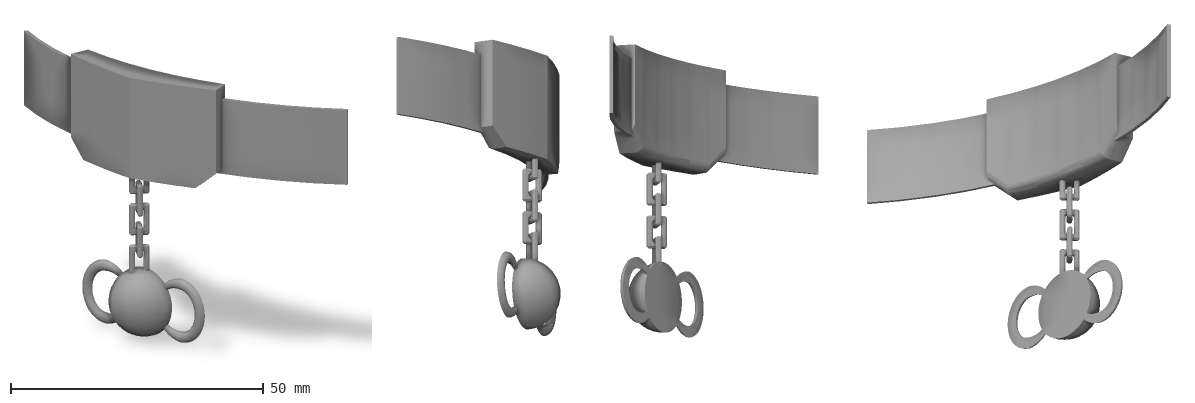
import cadquery as cq
import math

BEND_AXIS_Y = 81.6
PLATE_BACK_RADIUS = 74.9
PLATE_HEIGHT = 21.0
PLATE_HALF_ANGLE = 13.42
PLATE_CORNER_RADIUS = 79.25
PLATE_FACE_BULGE = 0.4
CORNER_CUT_WIDTH = 4.4
CORNER_CUT_HEIGHT = 3.6
REAR_FILLET_RADIUS = 1.5

STRAP_OUTER_RADIUS = 76.4
STRAP_THICKNESS = 0.75
STRAP_HEIGHT = 15.63
STRAP_LEFT_ANGLE = 31.25
STRAP_RIGHT_ANGLE = 32.88

LINK_COUNT = 5
LINK_WIDTH = 4.0
LINK_BAR = 1.13
LINK_CHAMFER = 0.33
LINK_PITCH = 4.316
LINK_LENGTH = LINK_PITCH + 2 * LINK_BAR
LINK_FIRST_BOTTOM_Z = -25.04
LINK_FIRST_TURN = 45
LINK_TURN_STEP = 90
CHAIN_Y = 3.22

PENDANT_BACK_Y = 4.75
BALL_RADIUS = 7.08
BALL_Z = -47.93
EAR_TUBE_RADIUS = 1.13
EAR_TIP_RADIUS = 0.6
EAR_CROWN_X = 9.45
EAR_REACH = 4.8
EAR_HALF_HEIGHT = 5.5
EAR_ARM_RADIUS = 6.2
EAR_ARM_ANGLE = 45


def bend_point(radius, angle):
    """Point at a radius from the bend axis; the angle is 0 at the ridge and grows towards +X."""
    turn = math.radians(angle)
    return radius * math.sin(turn), BEND_AXIS_Y - radius * math.cos(turn)


def make_corner_cut(side):
    """Wedge for the chamfer between the plate's bottom and its radial end face."""
    return (
        cq.Workplane("XZ")
        .moveTo(0, -PLATE_HEIGHT)
        .lineTo(-side * CORNER_CUT_WIDTH, -PLATE_HEIGHT)
        .lineTo(0, -PLATE_HEIGHT + CORNER_CUT_HEIGHT)
        .close()
        .extrude(BEND_AXIS_Y / 2, both=True)
        .rotate((0, BEND_AXIS_Y, 0), (0, BEND_AXIS_Y, 1), side * PLATE_HALF_ANGLE)
    )


def make_plate():
    back_right = bend_point(PLATE_BACK_RADIUS, PLATE_HALF_ANGLE)
    back_left = bend_point(PLATE_BACK_RADIUS, -PLATE_HALF_ANGLE)
    front_right = bend_point(PLATE_CORNER_RADIUS, PLATE_HALF_ANGLE)
    front_left = bend_point(PLATE_CORNER_RADIUS, -PLATE_HALF_ANGLE)
    corner_x, corner_y = front_right
    back_middle = (0, BEND_AXIS_Y - PLATE_BACK_RADIUS, -PLATE_HEIGHT / 2)
    bulge_y = corner_y / 2 - PLATE_FACE_BULGE
    plate = (
        cq.Workplane("XY")
        .moveTo(*back_left)
        .threePointArc(bend_point(PLATE_BACK_RADIUS, 0), back_right)
        .lineTo(*front_right)
        .threePointArc((corner_x / 2, bulge_y), (0, 0))
        .threePointArc((-corner_x / 2, bulge_y), front_left)
        .close()
        .extrude(-PLATE_HEIGHT)
    )
    for side in (-1, 1):
        plate = plate.cut(make_corner_cut(side))
    back_face = plate.faces(cq.NearestToPointSelector(back_middle))
    return back_face.edges("not(|Z or >Z)").fillet(REAR_FILLET_RADIUS)


def make_strap():
    inner_radius = STRAP_OUTER_RADIUS - STRAP_THICKNESS
    margin = (PLATE_HEIGHT - STRAP_HEIGHT) / 2
    return (
        cq.Workplane("XY", origin=(0, 0, -margin))
        .moveTo(*bend_point(STRAP_OUTER_RADIUS, -STRAP_LEFT_ANGLE))
        .threePointArc(
            bend_point(STRAP_OUTER_RADIUS, 0),
            bend_point(STRAP_OUTER_RADIUS, STRAP_RIGHT_ANGLE),
        )
        .lineTo(*bend_point(inner_radius, STRAP_RIGHT_ANGLE))
        .threePointArc(
            bend_point(inner_radius, 0),
            bend_point(inner_radius, -STRAP_LEFT_ANGLE),
        )
        .close()
        .extrude(-STRAP_HEIGHT)
    )


def make_link(index):
    window_width = LINK_WIDTH - 2 * LINK_BAR
    window_length = LINK_LENGTH - 2 * LINK_BAR
    center_z = LINK_FIRST_BOTTOM_Z + LINK_LENGTH / 2 - index * LINK_PITCH
    return (
        cq.Workplane("XY")
        .box(LINK_WIDTH, LINK_BAR, LINK_LENGTH)
        .cut(cq.Workplane("XY").box(window_width, LINK_BAR, window_length))
        .edges()
        .chamfer(LINK_CHAMFER)
        .rotate((0, 0, 0), (0, 0, 1), LINK_FIRST_TURN + LINK_TURN_STEP * index)
        .translate((0, CHAIN_Y, center_z))
    )


def make_arm():
    """Upper arm of the +X ear: bends down from the crown into the ball, tapering to its tip."""
    turn = math.radians(EAR_ARM_ANGLE)
    crown_z = BALL_Z + EAR_HALF_HEIGHT
    tip_x = EAR_CROWN_X - EAR_ARM_RADIUS * math.sin(turn)
    tip_z = crown_z - EAR_ARM_RADIUS * (1 - math.cos(turn))
    middle_x = EAR_CROWN_X - EAR_ARM_RADIUS * math.sin(turn / 2)
    middle_z = crown_z - EAR_ARM_RADIUS * (1 - math.cos(turn / 2))
    crown = cq.Vector(EAR_CROWN_X, PENDANT_BACK_Y, crown_z)
    middle = cq.Vector(middle_x, PENDANT_BACK_Y, middle_z)
    tip = cq.Vector(tip_x, PENDANT_BACK_Y, tip_z)
    path = cq.Wire.assembleEdges([cq.Edge.makeThreePointArc(crown, middle, tip)])
    into_ball = cq.Vector(-math.cos(turn), 0, -math.sin(turn))
    sections = [
        cq.Wire.makeCircle(EAR_TUBE_RADIUS, crown, cq.Vector(-1, 0, 0)),
        cq.Wire.makeCircle(EAR_TIP_RADIUS, tip, into_ball),
    ]
    return cq.Workplane(cq.Solid.sweep_multi(sections, path))


def make_ear():
    """Full-round ear loop on the +X side, centred on the pendant's back plane."""
    bow_path = (
        cq.Workplane("XZ", origin=(EAR_CROWN_X, PENDANT_BACK_Y, BALL_Z))
        .ellipseArc(EAR_REACH, EAR_HALF_HEIGHT, -90, 90, startAtCurrent=False)
    )
    foot = (EAR_CROWN_X, PENDANT_BACK_Y, BALL_Z - EAR_HALF_HEIGHT)
    bow = cq.Workplane("YZ", origin=foot).circle(EAR_TUBE_RADIUS).sweep(bow_path)
    arm = make_arm()
    lower_arm = arm.mirror("XY", (0, 0, BALL_Z))
    return bow.union(arm).union(lower_arm)


def make_half_ball():
    """Half ball with its pole towards -Y and its flat face on the pendant's back plane."""
    diagonal = BALL_RADIUS * math.sqrt(0.5)
    return (
        cq.Workplane("XY", origin=(0, PENDANT_BACK_Y, BALL_Z))
        .lineTo(BALL_RADIUS, 0)
        .threePointArc((diagonal, -diagonal), (0, -BALL_RADIUS))
        .close()
        .revolve(360, (0, 0), (0, 1))
    )


def make_pendant():
    ear = make_ear()
    keep_size = 6 * BALL_RADIUS
    front_half = (
        cq.Workplane("XY", origin=(0, PENDANT_BACK_Y - keep_size / 2, BALL_Z))
        .box(keep_size, keep_size, keep_size)
    )
    half_ear = ear.intersect(front_half)
    return make_half_ball().union(half_ear).union(half_ear.mirror("YZ"))


links = [make_link(index) for index in range(LINK_COUNT)]

housing = make_plate().union(make_strap()).cut(links[0])
pendant = make_pendant().cut(links[-1])

bodies = [housing, pendant, *links]
result = cq.Compound.makeCompound([body.solids().val() for body in bodies])